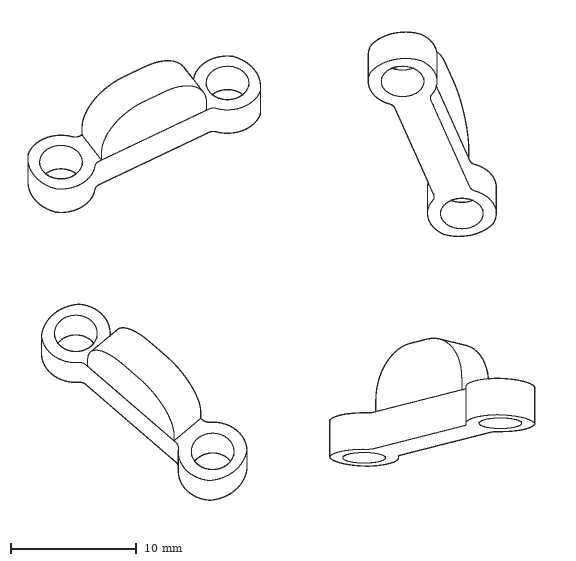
import cadquery as cq
import math

length = 20.58
thickness = 3.0
eyelet_width = 5.5
eyelet_radius = eyelet_width / 2
eyelet_offset = 7.75
hole_diameter = 3.4
end_radius = 3.3
neck_radius = 0.65

total_height = 7.9
crest_length = 9.8
crest_radius = 3.9
crest_height = total_height - thickness


def make_eyelet_outline():
    """Solid eyelet at +Y, with its flattened end and its neck reaching the bar's middle."""
    half_bar = thickness / 2
    neck_center_x = half_bar + neck_radius
    center_distance = eyelet_radius + neck_radius
    neck_drop = math.sqrt(center_distance**2 - neck_center_x**2)
    neck_center_y = eyelet_offset - neck_drop

    neck_share = eyelet_radius / center_distance
    tangent_x = neck_center_x * neck_share
    tangent_y = eyelet_offset - neck_drop * neck_share
    neck_mid_angle = math.atan2(neck_drop, neck_center_x) / 2
    neck_mid_x = neck_center_x - neck_radius * math.cos(neck_mid_angle)
    neck_mid_y = neck_center_y + neck_radius * math.sin(neck_mid_angle)

    end_y = length / 2
    end_center_y = end_y - end_radius
    spacing = eyelet_offset - end_center_y
    corner_rise = (end_radius**2 - eyelet_radius**2 - spacing**2) / (2 * spacing)
    corner_y = eyelet_offset + corner_rise
    corner_x = math.sqrt(eyelet_radius**2 - corner_rise**2)

    return (
        cq.Workplane("XY")
        .moveTo(half_bar, 0)
        .lineTo(half_bar, neck_center_y)
        .threePointArc((neck_mid_x, neck_mid_y), (tangent_x, tangent_y))
        .threePointArc((eyelet_radius, eyelet_offset), (corner_x, corner_y))
        .threePointArc((0, end_y), (-corner_x, corner_y))
        .threePointArc((-eyelet_radius, eyelet_offset), (-tangent_x, tangent_y))
        .threePointArc((-neck_mid_x, neck_mid_y), (-half_bar, neck_center_y))
        .lineTo(-half_bar, 0)
        .close()
        .extrude(thickness)
    )


def make_base():
    """Two mirrored halves joined into one bar, with a through hole in each eyelet."""
    half = make_eyelet_outline()
    holes = (
        cq.Workplane("XY")
        .pushPoints([(0, -eyelet_offset), (0, eyelet_offset)])
        .circle(hole_diameter / 2)
        .extrude(thickness)
    )
    return half.union(half.mirror("XZ")).clean().cut(holes)


def make_crest():
    """Upright plate resting on the base, with its two upper corners rounded."""
    return (
        cq.Workplane("XY")
        .workplane(offset=thickness)
        .rect(thickness, crest_length)
        .extrude(crest_height)
        .edges("|X and >Z")
        .fillet(crest_radius)
    )


base = make_base()
crest = make_crest()
result = cq.Compound.makeCompound([base.solids().val(), crest.val()])